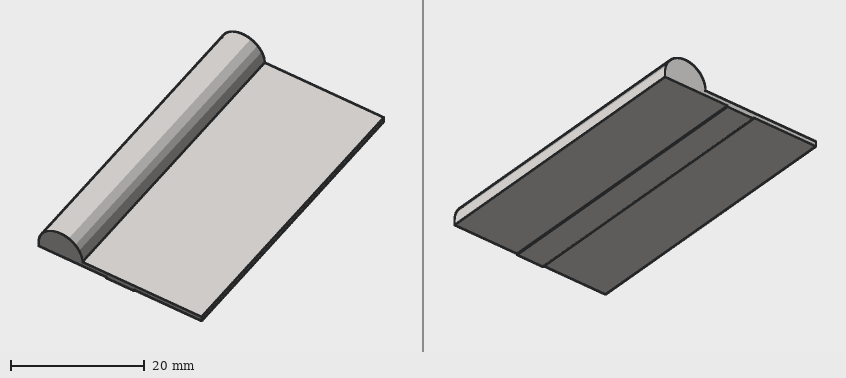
import cadquery as cq

length = 50.0
width = 29.0
height = 5.0

bead_radius = 3.9
plate_thickness = 0.9
strip_width = 5.0
strip_thickness = height - bead_radius - plate_thickness

left = -width / 2
right = width / 2
bead_center_x = left + bead_radius
bead_right = left + 2 * bead_radius
bead_top = plate_thickness + bead_radius


def extrude_along_length(profile):
    """Extrude an XZ profile evenly to both sides of the Y origin."""
    return profile.extrude(length / 2, both=True)


plate_with_bead = extrude_along_length(
    cq.Workplane("XZ")
    .moveTo(left, 0)
    .lineTo(right, 0)
    .lineTo(right, plate_thickness)
    .lineTo(bead_right, plate_thickness)
    .threePointArc((bead_center_x, bead_top), (left, plate_thickness))
    .close()
)

strip = extrude_along_length(
    cq.Workplane("XZ")
    .center(0, -strip_thickness / 2)
    .rect(strip_width, strip_thickness)
)

result = plate_with_bead.union(strip)